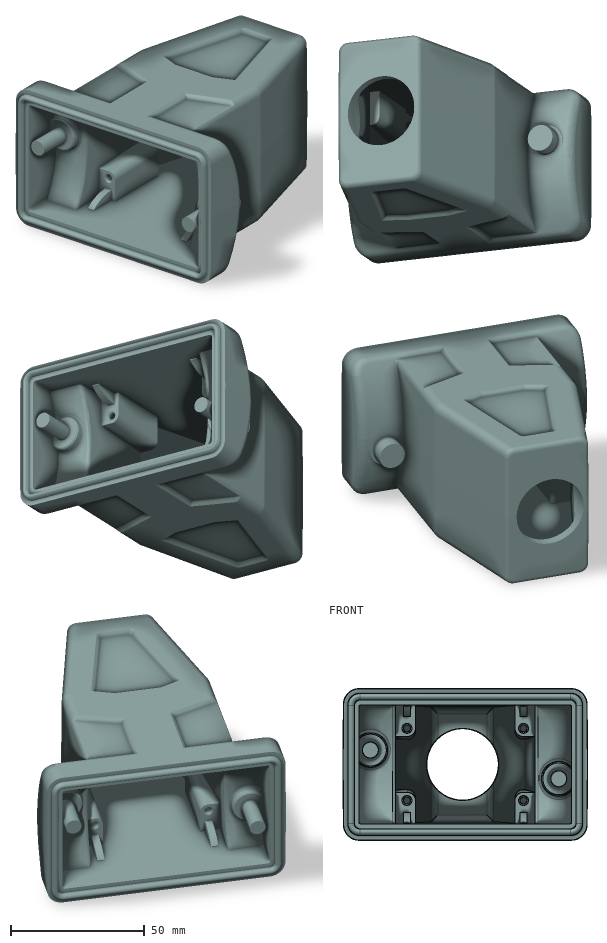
import cadquery as cq
import math

height = 57.0
half_height = height / 2
draft_angle = 0.5

flange_half_width = 46.0
flange_front = 2.0
flange_crown = 22.0
flange_dome_radius = 47.0
flange_corner_radius = 6.0
flange_edge_fillet = 3.1
flange_root_fillet = 1.0

hood_start = 6.0
hood_half_width = 28.7
hood_bend = 56.1
hood_end = 102.0
hood_end_half_width = 16.5
hood_bend_fillet = 4.0
hood_long_fillet = 3.5
hood_end_fillet = 1.8

recess_depth = 1.5
recess_wall_angle = 48.0
recess_corner_radius = 2.5
panel_half_gap = 8.7
panel_inner_top = 35.3
panel_outer_top = 42.3
window_top = 92.6
window_top_half_width = 7.0
window_shoulder = 55.6
window_shoulder_half_width = 17.2
window_bottom = 52.3
window_bottom_half_width = 8.7

opening_half_width = 40.0
opening_half_height = 22.4
opening_corner_radius = 1.0
flange_wall = 2.3
throat_half_width = 26.2
throat_start = 12.0
throat_edge_fillet = 1.2
cavity_bend = 55.0
cavity_bend_right = 22.5
cavity_end = 98.0
cavity_end_left = -12.2
cavity_end_right = 10.1
cavity_end_half_height = 21.5
cavity_end_fillet = 2.6
cable_hole_diameter = 26.9
cable_hole_x = -1.0

post_x = 21.9
post_inner_x = 18.7
post_z = 13.55
post_edge_z = 10.5
post_back_edge_z = 9.5
post_overlap = 1.0
post_corner_radius = 3.0
post_front = 28.0
post_back = cavity_bend
screw_hole_diameter = 2.6
screw_hole_depth = 12.0
screw_hole_chamfer = 0.55
gusset_width = 2.75
gusset_height = 4.4
gusset_length = 11.0
gusset_tip_height = 0.4
gusset_bulge = 1.0

pin_x = 35.4
pin_shift_x = -0.25
pin_z = 5.4
pin_head_diameter = 10.0
pin_shank_diameter = 6.0
pin_head_back = 28.2
pin_tip = 2.0
pin_boss_back = 22.0
pin_boss_diameter = 13.0
pin_boss_front = 16.0
pin_boss_chamfer = 0.5
pin_boss_root_fillet = 1.0

gasket_half_width = 44.15
gasket_half_height = 26.7
gasket_width = 2.5
gasket_corner_radius = 4.5

dome_centre = flange_crown - flange_dome_radius


def front_plane(y):
    """Sketch plane facing -Y at the given y; a negative extrusion runs toward +Y."""
    return cq.Workplane("XZ", origin=(0, y, 0))


def rod(x, z, diameter, start, end):
    return front_plane(start).center(x, z).circle(diameter / 2).extrude(start - end)


def rounded_block(half_width, half_depth, radius, start, end):
    block = front_plane(start).rect(2 * half_width, 2 * half_depth).extrude(start - end)
    return block.edges("|Y").fillet(radius)


def domed_block(front, radius, half_width, half_depth):
    """Block whose back is a cylinder about an X-parallel axis, shared by shell and cavity."""
    edge = dome_centre + math.sqrt(radius**2 - half_depth**2)
    return (
        cq.Workplane("YZ")
        .moveTo(front, -half_depth)
        .lineTo(edge, -half_depth)
        .threePointArc((dome_centre + radius, 0), (edge, half_depth))
        .lineTo(front, half_depth)
        .close()
        .extrude(half_width, both=True)
    )


def band_edges(body, half_width):
    """Curved edges where the dome of a body meets the two side walls near x = +/- half_width."""
    tolerance = 0.6
    right_wall = cq.selectors.BoxSelector(
        (half_width - tolerance, flange_front, -half_height),
        (half_width + tolerance, flange_crown, half_height),
    )
    left_wall = cq.selectors.BoxSelector(
        (-half_width - tolerance, flange_front, -half_height),
        (-half_width + tolerance, flange_crown, half_height),
    )
    return body.edges(right_wall + left_wall).edges("not |Y")


def make_flange():
    corner_half_width = flange_half_width - half_height * math.tan(math.radians(draft_angle))
    outline = [
        (flange_half_width, 0),
        (corner_half_width, half_height),
        (-corner_half_width, half_height),
        (-flange_half_width, 0),
        (-corner_half_width, -half_height),
        (corner_half_width, -half_height),
    ]
    column = front_plane(flange_front).polyline(outline).close().extrude(-height)
    corners = column.edges("|Y").edges(">Z or <Z")
    column = corners.fillet(flange_corner_radius)
    dome = domed_block(flange_front, flange_dome_radius, flange_half_width, half_height)
    flange = column.intersect(dome)
    return flange.faces(">Y").edges().fillet(flange_edge_fillet)


def cut_recess(body, outline, round_end=False):
    """Sink one sloping-walled recess into the upper face and its mirror image into the lower one."""
    recess = cq.Workplane("XY", origin=(0, 0, half_height)).polyline(outline).close()
    recess = recess.extrude(-recess_depth, taper=recess_wall_angle)
    if round_end:
        recess = recess.faces(">Y").edges("not |X").fillet(recess_corner_radius)
    return body.cut(recess).cut(recess.mirror("XY"))


def make_hood():
    outline = [
        (-hood_half_width, hood_start),
        (-hood_half_width, hood_bend),
        (-hood_end_half_width, hood_end),
        (hood_end_half_width, hood_end),
        (hood_half_width, hood_bend),
        (hood_half_width, hood_start),
    ]
    upper = cq.Workplane("XY").polyline(outline).close().extrude(half_height, taper=draft_angle)
    upper = upper.edges(cq.selectors.BoxSelector(
        (-flange_half_width, hood_bend - 1, 1),
        (flange_half_width, hood_bend + 1, half_height - 1),
    )).fillet(hood_bend_fillet)
    upper = upper.faces(">Z").edges("not |X").fillet(hood_long_fillet)
    upper = upper.faces(">Y").edges("not <Z").fillet(hood_end_fillet)
    hood = upper.union(upper.mirror("XY"))

    panel_slope = (panel_outer_top - panel_inner_top) / (hood_half_width - panel_half_gap)
    panel_outer = flange_half_width
    panel_corner = panel_inner_top + panel_slope * (panel_outer - panel_half_gap)
    for side in (-1, 1):
        hood = cut_recess(hood, [
            (side * panel_half_gap, 0),
            (side * panel_half_gap, panel_inner_top),
            (side * panel_outer, panel_corner),
            (side * panel_outer, 0),
        ])
    return cut_recess(hood, [
        (-window_bottom_half_width, window_bottom),
        (-window_shoulder_half_width, window_shoulder),
        (-window_top_half_width, window_top),
        (window_top_half_width, window_top),
        (window_shoulder_half_width, window_shoulder),
        (window_bottom_half_width, window_bottom),
    ], round_end=True)


def make_flange_cavity():
    opening = rounded_block(
        opening_half_width, opening_half_height, opening_corner_radius, flange_front, flange_crown)
    dome = domed_block(
        flange_front, flange_dome_radius - flange_wall, opening_half_width, opening_half_height)
    return opening.intersect(dome)


def throat_section(y, left, right, half_depth):
    corners = [(left, -half_depth), (right, -half_depth), (right, half_depth), (left, half_depth)]
    return cq.Wire.makePolygon([cq.Vector(x, y, z) for x, z in corners], close=True)


def make_throat():
    straight = (
        cq.Workplane("XY")
        .polyline([
            (-throat_half_width, throat_start),
            (-throat_half_width, cavity_bend),
            (cavity_bend_right, cavity_bend),
            (throat_half_width, post_front),
            (throat_half_width, throat_start),
        ])
        .close()
        .extrude(opening_half_height, both=True)
    )
    bend = throat_section(cavity_bend, -throat_half_width, cavity_bend_right, opening_half_height)
    end = throat_section(cavity_end, cavity_end_left, cavity_end_right, cavity_end_half_height)
    converging = cq.Workplane(cq.Solid.makeLoft([bend, end], True))
    throat = straight.union(converging)
    return throat.faces(">Y").edges().fillet(cavity_end_fillet)


def make_cavity():
    cavity = make_flange_cavity().union(make_throat())
    return band_edges(cavity, throat_half_width).fillet(throat_edge_fillet)


def make_post():
    """Post at +X, +Z with its gusset and screw hole."""
    wall = opening_half_height + post_overlap
    post = (
        cq.Workplane("YZ", origin=(post_inner_x, 0, 0))
        .polyline([
            (post_front, post_edge_z),
            (post_back, post_back_edge_z),
            (post_back, wall),
            (post_front, wall),
        ])
        .close()
        .extrude(throat_half_width + post_overlap - post_inner_x)
    )
    post = post.faces("<X").edges("<Z").fillet(post_corner_radius)
    gusset_front = post_front - gusset_length
    gusset_edge = opening_half_height - gusset_tip_height
    gusset_top = opening_half_height - gusset_height
    middle = ((gusset_front + post_front) / 2, (gusset_edge + gusset_top) / 2 - gusset_bulge)
    gusset = (
        cq.Workplane("YZ", origin=(post_x, 0, 0))
        .moveTo(gusset_front, wall)
        .lineTo(gusset_front, gusset_edge)
        .threePointArc(middle, (post_front, gusset_top))
        .lineTo(post_front + post_overlap, wall)
        .close()
        .extrude(gusset_width / 2, both=True)
    )
    hole = rod(post_x, post_z, screw_hole_diameter, post_front, post_front + screw_hole_depth)
    mouth = cq.Workplane(cq.Solid.makeCone(
        screw_hole_diameter / 2 + screw_hole_chamfer,
        screw_hole_diameter / 2,
        screw_hole_chamfer,
        pnt=cq.Vector(post_x, post_front, post_z),
        dir=cq.Vector(0, 1, 0),
    ))
    return post.union(gusset).cut(hole).cut(mouth)


def pin_axis(side):
    """X and Z of the pin on one side (-1 or 1); the two pins sit diagonally opposite."""
    return pin_shift_x + side * pin_x, -side * pin_z


def pin_boss(side):
    x, z = pin_axis(side)
    boss = rod(x, z, pin_boss_diameter, pin_boss_front, pin_boss_back)
    return boss.faces("<Y").chamfer(pin_boss_chamfer)


def pin_boss_root(housing, side):
    """Curved edge where a pin boss rises from the inner face of the dome."""
    around_boss = cq.selectors.BoxSelector(
        (side * (pin_x - pin_boss_diameter / 2), pin_boss_front + 1, -half_height),
        (side * (opening_half_width - 1), flange_crown - 1, half_height),
    )
    return housing.edges(around_boss).edges("%BSPLINE")


def make_pin(side):
    x, z = pin_axis(side)
    head = rod(x, z, pin_head_diameter, pin_boss_back, pin_head_back)
    shank = rod(x, z, pin_shank_diameter, pin_tip, pin_boss_back)
    return head.union(shank)


def make_gasket():
    """Elliptical bead swept around a rounded rectangle, half of it sunk in the flange face."""
    half_width = gasket_width / 2
    middle_x = gasket_half_width - half_width
    middle_block = rounded_block(
        middle_x, gasket_half_height - half_width, gasket_corner_radius - half_width,
        flange_front, flange_crown)
    path = middle_block.faces("<Y").wires()
    section = cq.Workplane("XY").center(middle_x, flange_front).ellipse(half_width, flange_front)
    return section.sweep(path)


def make_shell():
    shell = make_flange().union(make_hood())
    return band_edges(shell, hood_half_width).fillet(flange_root_fillet)


def make_housing(pins, gasket):
    housing = make_shell().cut(make_cavity())
    for side in (-1, 1):
        housing = housing.union(pin_boss(side))
        housing = pin_boss_root(housing, side).fillet(pin_boss_root_fillet)
        x, z = pin_axis(side)
        spot_face = rod(x, z, pin_boss_diameter, pin_boss_back, pin_head_back)
        housing = housing.cut(spot_face)
    post = make_post()
    opposite_post = post.mirror("YZ")
    for corner in (post, opposite_post, post.mirror("XY"), opposite_post.mirror("XY")):
        housing = housing.union(corner)
    cable_hole = rod(cable_hole_x, 0, cable_hole_diameter, cavity_bend, hood_end)
    housing = housing.cut(cable_hole).cut(gasket)
    for pin in pins:
        housing = housing.cut(pin)
    return housing


pins = [make_pin(side) for side in (-1, 1)]
gasket = make_gasket()
housing = make_housing(pins, gasket)

result = cq.Compound.makeCompound([housing.val(), gasket.val(), *[pin.val() for pin in pins]])